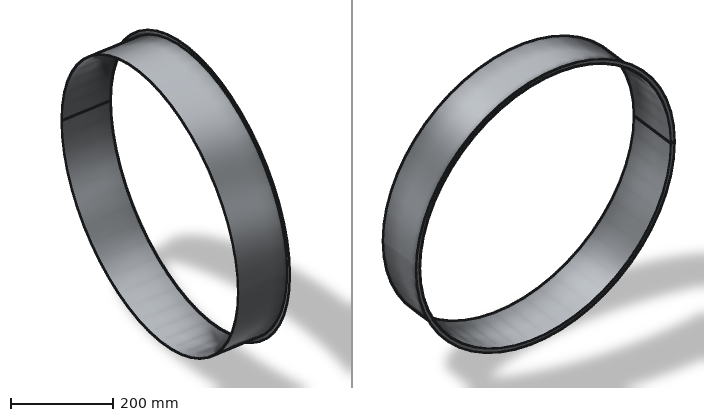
import cadquery as cq

flange_diameter = 653.0
sleeve_outer_diameter = 635.0
bore_diameter = 633.0
total_length = 115.0
seam_gap = 0.1

sheet_thickness = (sleeve_outer_diameter - bore_diameter) / 2


def disc(diameter, length):
    """Cylinder along Y whose back face lies at Y = 0 and which extends toward -Y."""
    return cq.Workplane("XZ").circle(diameter / 2).extrude(length)


sleeve = disc(sleeve_outer_diameter, total_length)
flange = disc(flange_diameter, sheet_thickness)
bore = disc(bore_diameter, total_length)
ring = sleeve.union(flange).cut(bore)

seam = (
    cq.Workplane("XY")
    .box(flange_diameter / 2, total_length, seam_gap, centered=False)
    .translate((-flange_diameter / 2, -total_length, 0))
)

result = ring.cut(seam)